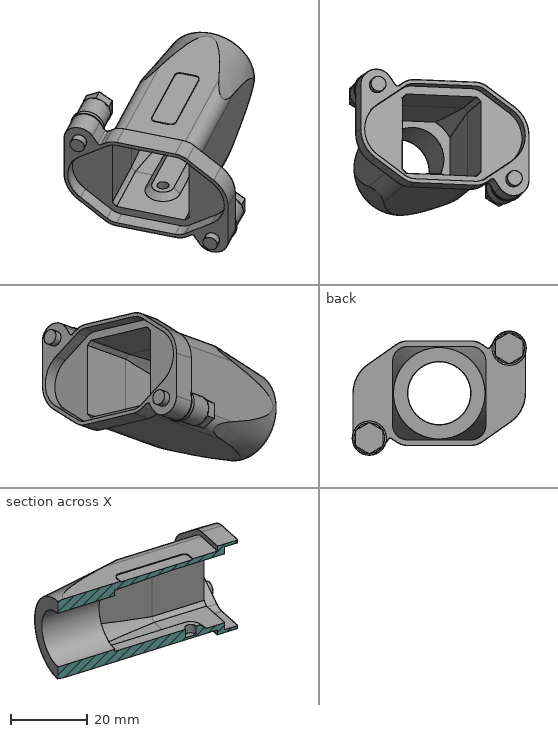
import cadquery as cq
import math


overall_length = 56.9

flange_thickness = 6.2
flange_half_width = 22.65
flange_half_height = 13.75
flange_end_radius = 9.3
flange_corner_radius = 5.7
flange_slope = math.radians(35)
flange_wall = 1.0
recess_depth = 4.0

screw_spacing_x = 36.7
screw_spacing_z = 23.6
screw_x = screw_spacing_x / 2
screw_z = screw_spacing_z / 2
pin_diameter = 4.0
pin_protrusion = 2.1
washer_diameter = 9.0
washer_thickness = 0.95
shank_diameter = 8.0
shank_length = 6.65
hex_across_corners = 8.25
hex_height = 2.85

ear_radius = flange_half_width - screw_x
ear_edge_length = 9.1
ear_fillet_radius = 0.55

hood_width = 24.5
hood_end_y = overall_length - pin_protrusion
hood_corner_radius = 4.0
cone_slope = 0.15
cone_end_radius = 12.0

cavity_width = 21.15
cavity_end_width = 19.8
cavity_radius = 14.15
cavity_end_radius = 11.55
cavity_taper_y = 19.9
cavity_end_y = cavity_taper_y + (cavity_radius - cavity_end_radius) / cone_slope
bore_diameter = 16.5

boss_y = 14.35
boss_base_diameter = 9.45
boss_top_diameter = 6.0
boss_height = 1.7
boss_hole_diameter = 3.1
boss_hole_depth = 2.55
boss_base_z = -cavity_width / 2

label_width = 6.65
label_length = 22.0
label_corner_radius = 1.4
label_depth = 0.2
label_center_y = 24.75


def section(y, x=0, z=0):
    """Sketch plane across the Y axis; local axes are +Z and +X, and extrusions run towards +Y."""
    return cq.Workplane(cq.Plane(origin=(x, y, z), xDir=(0, 0, 1), normal=(0, 1, 0)))


def disc(y, diameter, length, x=0, z=0):
    return section(y, x, z).circle(diameter / 2).extrude(length)


def cone(start_y, end_y, start_radius, end_radius):
    """Cone frustum about the Y axis."""
    outline = [(0, start_y), (start_radius, start_y), (end_radius, end_y), (0, end_y)]
    return cq.Workplane("XY").polyline(outline).close().revolve(360, (0, 0, 0), (0, 1, 0))


def half_turn(body):
    """Copy of a body turned half way round the housing axis."""
    return body.rotate((0, 0, 0), (0, 1, 0), 180)


def flange_block(inset, thickness):
    """Elongated hexagon with round ends and corners, its outline moved inwards by inset."""
    half_height = flange_half_height - inset
    end_center_x = flange_half_width - flange_end_radius
    tip_x = end_center_x + (flange_end_radius - inset) / math.sin(flange_slope)
    flat_x = tip_x - half_height / math.tan(flange_slope)
    outline = [
        (half_height, -flat_x), (half_height, flat_x), (0, tip_x),
        (-half_height, flat_x), (-half_height, -flat_x), (0, -tip_x),
    ]
    block = section(0).polyline(outline).close().extrude(thickness)
    block = block.edges("|Y and (<X or >X)").fillet(flange_end_radius - inset)
    block = block.faces("<Z or >Z").edges("|Y")
    return block.fillet(flange_corner_radius - inset)


def ear_inner_corner():
    """Middle of the upright edge where the ear's inner edge meets the sloping flange side."""
    end_center_x = flange_half_width - flange_end_radius
    sin_slope = math.sin(flange_slope)
    cos_slope = math.cos(flange_slope)
    normal_reach = flange_end_radius + end_center_x * sin_slope
    side_reach = ear_radius - screw_x * cos_slope + screw_z * sin_slope
    corner_x = side_reach * cos_slope - normal_reach * sin_slope
    corner_z = side_reach * sin_slope + normal_reach * cos_slope
    return (corner_x, flange_thickness / 2, corner_z)


def ear():
    """Ear at -X, +Z: round end, straight outer edge, and inner edge square to the flange side."""
    sin_slope = math.sin(flange_slope)
    cos_slope = math.cos(flange_slope)
    edge_start_z = screw_z + ear_radius * sin_slope
    edge_start_x = -screw_x + ear_radius * cos_slope
    edge_end_z = edge_start_z - ear_edge_length * cos_slope
    edge_end_x = edge_start_x + ear_edge_length * sin_slope
    return (
        section(0)
        .moveTo(0, -flange_half_width)
        .lineTo(screw_z, -flange_half_width)
        .threePointArc((screw_z + ear_radius, -screw_x), (edge_start_z, edge_start_x))
        .lineTo(edge_end_z, edge_end_x)
        .close()
        .extrude(flange_thickness)
    )


def make_flange():
    flange = flange_block(0, flange_thickness)
    for _ in range(2):
        flange = flange.union(ear())
        inner_corner = cq.selectors.NearestToPointSelector(ear_inner_corner())
        flange = flange.edges("|Y").edges(inner_corner).fillet(ear_fillet_radius)
        flange = half_turn(flange)
    return flange


def make_hood():
    block = (
        section(flange_thickness)
        .rect(hood_width, hood_width)
        .extrude(hood_end_y - flange_thickness)
        .edges("|Y")
        .fillet(hood_corner_radius)
    )
    cone_start_radius = cone_end_radius + cone_slope * (hood_end_y - flange_thickness)
    return block.intersect(cone(flange_thickness, hood_end_y, cone_start_radius, cone_end_radius))


def make_cavity():
    straight_length = cavity_taper_y - recess_depth
    straight = section(recess_depth).rect(cavity_width, cavity_width).extrude(straight_length)
    straight = straight.intersect(disc(recess_depth, 2 * cavity_radius, straight_length))
    tapered = (
        section(cavity_taper_y)
        .rect(cavity_width, cavity_width)
        .workplane(offset=cavity_end_y - cavity_taper_y)
        .rect(cavity_end_width, cavity_end_width)
        .loft(ruled=True)
    )
    tapered = tapered.intersect(cone(cavity_taper_y, cavity_end_y, cavity_radius, cavity_end_radius))
    return straight.union(tapered)


def make_boss():
    round_end = (
        cq.Workplane("XY", origin=(0, boss_y, boss_base_z))
        .circle(boss_base_diameter / 2)
        .workplane(offset=boss_height)
        .circle(boss_top_diameter / 2)
        .loft()
    )
    top_z = boss_base_z + boss_height
    ridge_outline = [
        (boss_base_z, -boss_base_diameter / 2), (top_z, -boss_top_diameter / 2),
        (top_z, boss_top_diameter / 2), (boss_base_z, boss_base_diameter / 2),
    ]
    ridge = section(boss_y).polyline(ridge_outline).close().extrude(cavity_end_y - boss_y)
    return round_end.union(ridge)


def boss_hole():
    top_z = boss_base_z + boss_height
    return (
        cq.Workplane("XY", origin=(0, boss_y, top_z - boss_hole_depth))
        .circle(boss_hole_diameter / 2)
        .extrude(boss_hole_depth)
    )


def label_recess():
    return (
        cq.Workplane("XY", origin=(0, label_center_y, hood_width / 2 - label_depth))
        .rect(label_width, label_length)
        .extrude(label_depth)
        .edges("|Z")
        .fillet(label_corner_radius)
    )


def make_housing():
    body = make_flange().union(make_hood())
    body = body.cut(flange_block(flange_wall, recess_depth))
    body = body.cut(make_cavity())
    body = body.cut(disc(recess_depth, bore_diameter, hood_end_y - recess_depth))
    body = body.union(make_boss()).cut(boss_hole())
    for side in (-1, 1):
        body = body.cut(disc(0, pin_diameter, flange_thickness, side * screw_x, -side * screw_z))
    return body.cut(label_recess())


def make_screw(x, z):
    washer_y = flange_thickness
    shank_y = washer_y + washer_thickness
    hex_y = shank_y + shank_length
    pin = disc(-pin_protrusion, pin_diameter, pin_protrusion + flange_thickness, x, z)
    washer = disc(washer_y, washer_diameter, washer_thickness, x, z)
    shank = disc(shank_y, shank_diameter, shank_length, x, z)
    hexagon = section(hex_y, x, z).polygon(6, hex_across_corners).extrude(hex_height)
    return pin.union(washer).union(shank).union(hexagon)


housing = make_housing()
screws = [make_screw(side * screw_x, -side * screw_z) for side in (-1, 1)]

result = cq.Compound.makeCompound([*housing.solids().vals(), *[screw.solids().val() for screw in screws]])